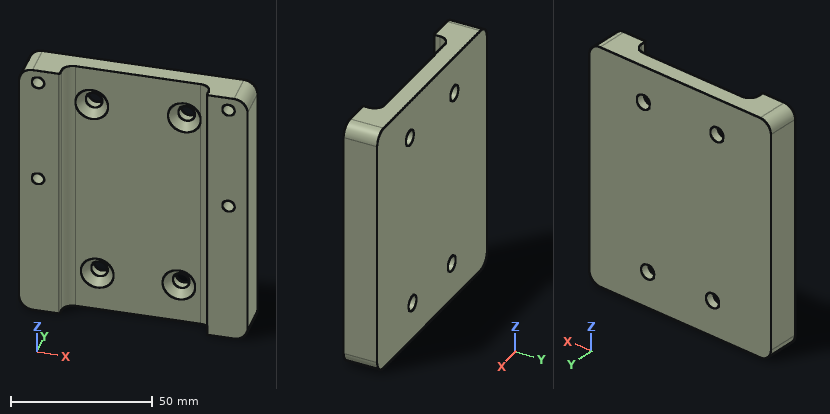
import cadquery as cq

width = 84.0
thickness = 13.5
height = 100.0
corner_radius = 5.0

channel_width = 54.0
channel_depth = 6.5
channel_fillet = 4.0
channel_edge_radius = 0.5

screw_diameter = 6.0
countersink_diameter = 12.0
countersink_angle = 90.0
screw_height = 35.0
upper_screw_spacing = 34.0
lower_screw_spacing = 30.0

rail_hole_diameter = 4.5
rail_hole_depth = 10.0
rail_hole_spacing = 70.0
rail_hole_heights = (5.0, 45.0)

front_y = -thickness / 2
floor_y = front_y + channel_depth


def pair(spacing, z):
    """Two points mirrored about the centre line."""
    return [(-spacing / 2, z), (spacing / 2, z)]


def front_plane(y):
    """Plane facing -Y, with local axes along X and Z."""
    return cq.Workplane("XZ", origin=(0, y, 0))


plate = cq.Workplane("XY").box(width, thickness, height).edges("|Y").fillet(corner_radius)

channel = (
    cq.Workplane("XY")
    .box(channel_width, 2 * channel_depth, height)
    .translate((0, front_y, 0))
    .edges("|Z and >Y")
    .fillet(channel_fillet)
)
plate = plate.cut(channel)

edge_finder = cq.selectors.BoxSelector(
    (-channel_width / 2 - channel_edge_radius, front_y - channel_edge_radius, -height / 2),
    (channel_width / 2 + channel_edge_radius, front_y + channel_edge_radius, height / 2),
)
plate = plate.edges("|Z").edges(edge_finder).fillet(channel_edge_radius)

screw_points = pair(upper_screw_spacing, screw_height) + pair(lower_screw_spacing, -screw_height)
plate = (
    front_plane(floor_y)
    .add(plate)
    .pushPoints(screw_points)
    .cskHole(screw_diameter, countersink_diameter, countersink_angle)
)

rail_points = [point for z in rail_hole_heights for point in pair(rail_hole_spacing, z)]
rail_holes = (
    front_plane(front_y)
    .pushPoints(rail_points)
    .circle(rail_hole_diameter / 2)
    .extrude(-rail_hole_depth)
)
result = plate.cut(rail_holes)